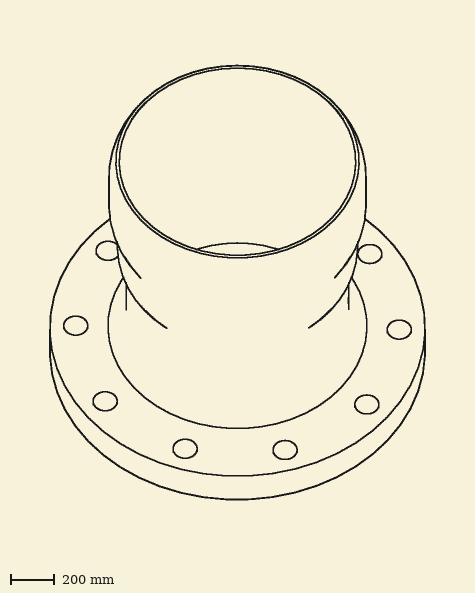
import cadquery as cq

flange_diameter = 1720.0
flange_thickness = 177.0
bolt_count = 10
bolt_hole_diameter = 110.0
bolt_circle_diameter = 1483.0
bore_radius = 980.0 / 2

neck_outer_radius = 1020.0 / 2
belt_outer_radius = 1100.0 / 2
belt_inner_radius = 1060.0 / 2
socket_outer_radius = 590.0
socket_inner_radius = 1154.0 / 2
mouth_outer_radius = 557.0
mouth_inner_radius = 542.0

foot_rim_radius = 593.0
foot_base_radius = 1154.0 / 2
foot_rim_z = 190.0
foot_cone_top_radius = 526.0
foot_cone_top_z = 284.0

neck_bottom_z = 334.0
neck_top_z = 659.0
lower_step_joint_z = 707.0
belt_bottom_z = 790.0
belt_top_z = 945.0
upper_step_joint_z = 998.0
socket_bottom_z = 1111.0
socket_top_z = 1295.0
pipe_top_z = 1420.0

inner_joint_rise = 10.0


def add_step(wire, low, high, joint_z):
    """Join two vertical wall ends (r, z) by an S-curve of two tangent arcs, going upwards."""
    low_r, low_z = low
    high_r, high_z = high
    joint_r = low_r + (high_r - low_r) * (joint_z - low_z) / (high_z - low_z)
    wire = wire.tangentArcPoint((joint_r, joint_z), relative=False)
    return wire.tangentArcPoint((high_r, high_z), relative=False)


def revolve_wall(foot_points, neck_radius, belt_radius, socket_radius, mouth_radius, joint_rise):
    """Solid inside one surface of the pipe wall, from the foot points (r, z) up to the mouth."""
    wire = cq.Workplane("XZ").moveTo(0, flange_thickness)
    for point in foot_points:
        wire = wire.lineTo(*point)
    if foot_points[-1][0] > neck_radius:
        wire = wire.tangentArcPoint((neck_radius, neck_bottom_z), relative=False)
    wire = wire.lineTo(neck_radius, neck_top_z)
    lower_joint_z = lower_step_joint_z + joint_rise
    wire = add_step(wire, (neck_radius, neck_top_z), (belt_radius, belt_bottom_z), lower_joint_z)
    wire = wire.lineTo(belt_radius, belt_top_z)
    upper_joint_z = upper_step_joint_z + joint_rise
    wire = add_step(wire, (belt_radius, belt_top_z), (socket_radius, socket_bottom_z), upper_joint_z)
    wire = wire.lineTo(socket_radius, socket_top_z)
    wire = wire.tangentArcPoint((mouth_radius, pipe_top_z), relative=False)
    return wire.lineTo(0, pipe_top_z).close().revolve(360, (0, 0, 0), (0, 1, 0))


def make_pipe():
    foot = [
        (foot_base_radius, flange_thickness),
        (foot_rim_radius, foot_rim_z),
        (foot_cone_top_radius, foot_cone_top_z),
    ]
    bore_start = [(bore_radius, flange_thickness)]
    outside = revolve_wall(
        foot, neck_outer_radius, belt_outer_radius, socket_outer_radius, mouth_outer_radius, 0
    )
    inside = revolve_wall(
        bore_start, bore_radius, belt_inner_radius, socket_inner_radius, mouth_inner_radius, inner_joint_rise
    )
    return outside.cut(inside)


def make_flange():
    disc = cq.Workplane("XY").circle(flange_diameter / 2).circle(bore_radius).extrude(flange_thickness)
    bolt_holes = (
        cq.Workplane("XY")
        .polarArray(bolt_circle_diameter / 2, 0, 360, bolt_count)
        .circle(bolt_hole_diameter / 2)
        .extrude(flange_thickness)
    )
    return disc.cut(bolt_holes)


flange = make_flange()
pipe = make_pipe()

result = cq.Compound.makeCompound([flange.val(), pipe.val()])